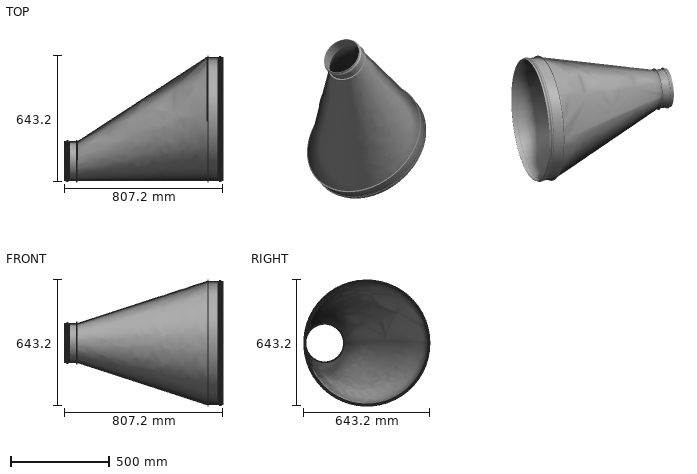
import cadquery as cq

total_length = 807.16
sheet = 0.5

small_tube_diameter = 198.95
small_neck_diameter = 194.15
small_spigot_length = 62.5

large_tube_diameter = 628.8
large_neck_diameter = 624.0
large_spigot_length = 77.5

axis_offset = (large_tube_diameter - small_tube_diameter) / 2

neck_length = 21.0
step_length = 3.5
hem_length = 6.5
hem_thickness = 0.6

flange_thickness = 1.0
flange_height = 7.215

gasket_base_start = 1.0
gasket_end = 17.0
shoulder_height = 3.9
lip_tip_height = 7.6
lip_start = 9.3
lip_width = 3.5

collar_length = 4.0


def revolve_about_x(profile):
    return profile.close().revolve(360, (0, 0, 0), (1, 0, 0))


def make_spigot(tube_diameter, neck_diameter, length):
    """Spigot with its open end at X = 0: hemmed neck, step, tube and flange."""
    tube_radius = tube_diameter / 2
    neck_radius = neck_diameter / 2
    tube_start = neck_length + step_length
    hem_inner = tube_radius - hem_thickness
    flange_start = length - flange_thickness
    flange_radius = tube_radius + flange_height
    profile = (
        cq.Workplane("XY")
        .moveTo(0, neck_radius - sheet)
        .lineTo(0, tube_radius)
        .lineTo(hem_length, tube_radius)
        .lineTo(hem_length, hem_inner)
        .lineTo(gasket_base_start, hem_inner)
        .lineTo(gasket_base_start, neck_radius)
        .lineTo(neck_length, neck_radius)
        .lineTo(tube_start, tube_radius)
        .lineTo(flange_start, tube_radius)
        .lineTo(flange_start, flange_radius)
        .lineTo(length, flange_radius)
        .lineTo(length, tube_radius - sheet)
        .lineTo(tube_start, tube_radius - sheet)
        .lineTo(neck_length, neck_radius - sheet)
    )
    return revolve_about_x(profile)


def make_gasket(tube_diameter, neck_diameter):
    """Gasket seated on the neck, its base tucked under the hem and its lip leaning inward."""
    inner_radius = neck_diameter / 2
    base_radius = tube_diameter / 2 - hem_thickness
    shoulder_radius = inner_radius + shoulder_height
    tip_radius = inner_radius + lip_tip_height
    lip_lean = tip_radius - shoulder_radius
    profile = (
        cq.Workplane("XY")
        .moveTo(gasket_base_start, inner_radius)
        .lineTo(gasket_base_start, base_radius)
        .lineTo(hem_length, base_radius)
        .lineTo(lip_start, shoulder_radius)
        .lineTo(lip_start + lip_lean, tip_radius)
        .lineTo(lip_start + lip_lean + lip_width, tip_radius)
        .lineTo(lip_start + lip_width, shoulder_radius)
        .lineTo(gasket_end, shoulder_radius)
        .lineTo(gasket_end, inner_radius)
    )
    return revolve_about_x(profile)


def make_cone_volume(inset):
    """Solid volume of the cone and its two collars, reduced in radius by the inset."""
    small_radius = small_tube_diameter / 2 - inset
    large_radius = large_tube_diameter / 2 - inset
    start = small_spigot_length
    end = total_length - large_spigot_length
    taper_start = start + collar_length
    taper_end = end - collar_length
    small_collar = cq.Workplane("YZ", origin=(start, 0, 0)).circle(small_radius).extrude(collar_length)
    taper = (
        cq.Workplane("YZ", origin=(taper_start, 0, 0))
        .circle(small_radius)
        .workplane(offset=taper_end - taper_start)
        .center(axis_offset, 0)
        .circle(large_radius)
        .loft(ruled=True)
    )
    large_collar = (
        cq.Workplane("YZ", origin=(taper_end, axis_offset, 0)).circle(large_radius).extrude(collar_length)
    )
    return small_collar.union(taper).union(large_collar)


def move_to_large_end(body):
    return body.mirror("YZ").translate((total_length, axis_offset, 0))


cone = make_cone_volume(0).cut(make_cone_volume(sheet))

small_spigot = make_spigot(small_tube_diameter, small_neck_diameter, small_spigot_length)
small_gasket = make_gasket(small_tube_diameter, small_neck_diameter)

large_spigot = move_to_large_end(
    make_spigot(large_tube_diameter, large_neck_diameter, large_spigot_length)
)
large_gasket = move_to_large_end(make_gasket(large_tube_diameter, large_neck_diameter))

result = cq.Compound.makeCompound([
    cone.val(),
    small_spigot.val(),
    small_gasket.val(),
    large_spigot.val(),
    large_gasket.val(),
])